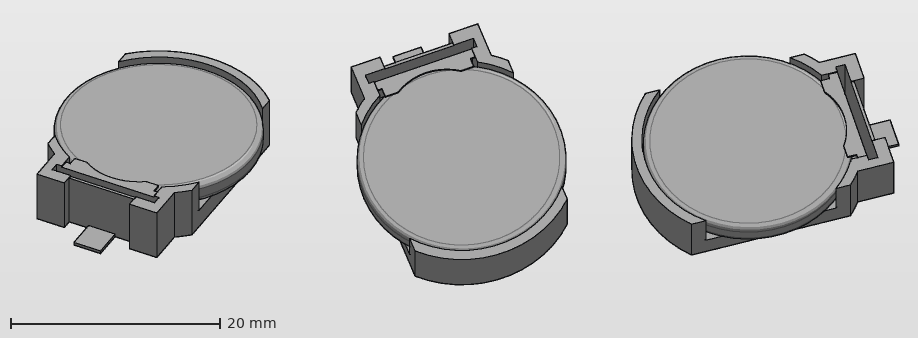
import cadquery as cq
import math

total_length = 25.7
height = 5.4
outer_radius = 11.1
body_width = 15.58
neck_width = 12.95
neck_end = -12.62

pocket_radius = 10.13
pocket_floor = 1.98
bay_width = 9.98

slot_width = 11.05
slot_front = -11.3
slot_back = -10.39
recess_width = 7.05
recess_face = -11.62
front_wall_height = 5.3
tab_width = 2.88
tab_thickness = 0.33
tab_end = outer_radius - total_length

tongue_width = 9.05
tongue_tip = -8.59
tongue_top = 5.25
tongue_shoulder = -9.49
tongue_notch_width = 6.43
tongue_notch_bottom = -9.6

cell_radius = 10.0
cell_bottom = 2.08
cell_top = 5.06
rim_fillet = 0.62
rim_bottom = 2.8
step_ledge = 0.1
step_cove = 0.39
base_fillet = rim_bottom - step_cove - cell_bottom


def block(width, y_min, y_max, z_min, z_max):
    """Box centred on X = 0 between the given Y and Z limits."""
    return cq.Workplane("XY").box(
        width, y_max - y_min, z_max - z_min, centered=(True, False, False)
    ).translate((0, y_min, z_min))


def make_tongue():
    """Flat tongue, full width at its root on the rear slot wall, with an arc notch in its tip."""
    half_root = bay_width / 2
    half_width = tongue_width / 2
    half_notch = tongue_notch_width / 2
    return (
        cq.Workplane("XY", origin=(0, 0, cell_top))
        .moveTo(-half_root, slot_back)
        .lineTo(-half_root, tongue_shoulder)
        .lineTo(-half_width, tongue_shoulder)
        .lineTo(-half_width, tongue_tip)
        .lineTo(-half_notch, tongue_tip)
        .threePointArc((0, tongue_notch_bottom), (half_notch, tongue_tip))
        .lineTo(half_width, tongue_tip)
        .lineTo(half_width, tongue_shoulder)
        .lineTo(half_root, tongue_shoulder)
        .lineTo(half_root, slot_back)
        .close()
        .extrude(tongue_top - cell_top)
    )


def make_holder():
    holder = cq.Workplane("XY").circle(outer_radius).extrude(height)
    holder = holder.intersect(block(body_width, -outer_radius, outer_radius, 0, height))
    holder = holder.union(block(neck_width, neck_end, 0, 0, height))

    pocket = cq.Workplane("XY", origin=(0, 0, pocket_floor)).circle(pocket_radius).extrude(height)
    holder = holder.cut(pocket)
    holder = holder.cut(block(bay_width, -pocket_radius, 0, pocket_floor, height))
    holder = holder.cut(block(bay_width, slot_back, -pocket_radius, tongue_top, height))

    holder = holder.cut(block(recess_width, neck_end, recess_face, 0, height))
    holder = holder.cut(block(recess_width, recess_face, slot_front, front_wall_height, height))
    holder = holder.cut(block(slot_width, slot_front, slot_back, tab_thickness, height))

    holder = holder.union(make_tongue())
    return holder.union(block(tab_width, tab_end, recess_face, 0, tab_thickness))


def make_cell():
    """Revolved coin cell with rounded rim and a coved, smaller base."""
    diagonal = math.sqrt(0.5)
    rim_center = cell_radius - rim_fillet
    cove_center = rim_center - step_ledge
    cove_radius = cove_center - step_cove
    base_center = cove_radius - base_fillet
    step_z = rim_bottom - step_cove
    return (
        cq.Workplane("XZ")
        .moveTo(0, cell_bottom)
        .lineTo(base_center, cell_bottom)
        .threePointArc(
            (base_center + base_fillet * diagonal, step_z - base_fillet * diagonal),
            (cove_radius, step_z),
        )
        .threePointArc(
            (cove_center - step_cove * diagonal, step_z + step_cove * diagonal),
            (cove_center, rim_bottom),
        )
        .lineTo(rim_center, rim_bottom)
        .threePointArc(
            (rim_center + rim_fillet * diagonal, rim_bottom + rim_fillet * (1 - diagonal)),
            (cell_radius, rim_bottom + rim_fillet),
        )
        .lineTo(cell_radius, cell_top - rim_fillet)
        .threePointArc(
            (rim_center + rim_fillet * diagonal, cell_top - rim_fillet * (1 - diagonal)),
            (rim_center, cell_top),
        )
        .lineTo(0, cell_top)
        .close()
        .revolve(360, (0, 0, 0), (0, 1, 0))
    )


holder = make_holder()
cell = make_cell()
result = cq.Compound.makeCompound([holder.val(), cell.val()])